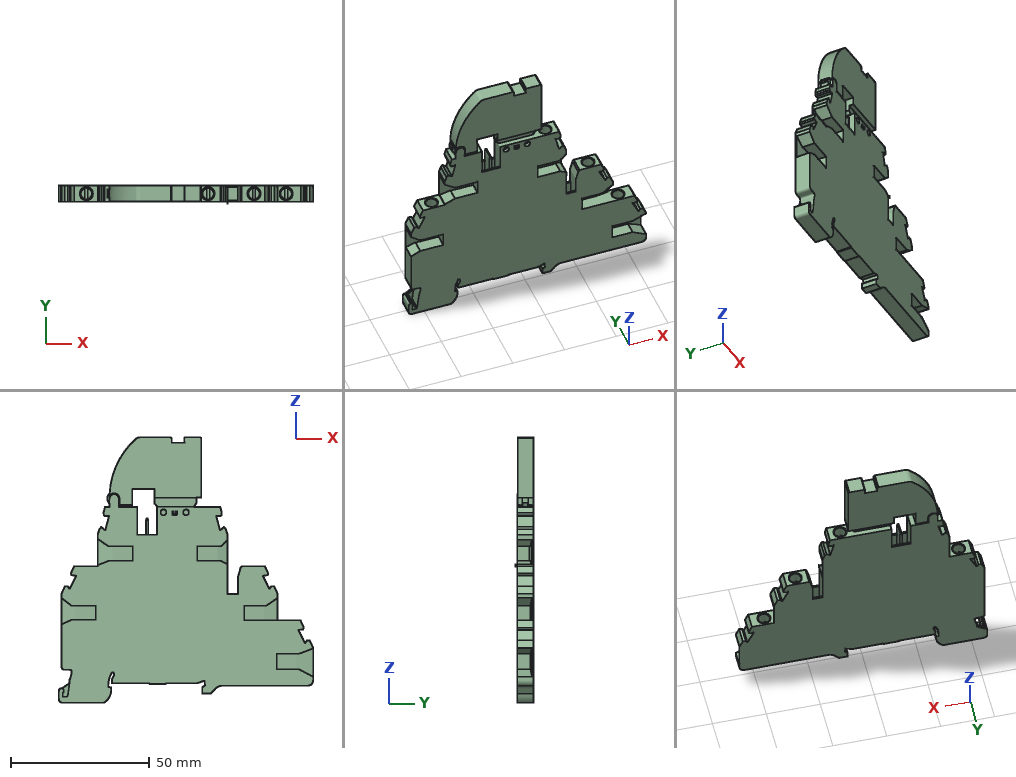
import cadquery as cq

thickness = 5.95
overall_height = 96.0
overall_length = 91.95

left_low_face = 1.0
left_high_face = 14.0
right_high_face = 61.0
right_mid_face = 79.1
right_low_face = overall_length
low_ledge = 29.85
mid_ledge = 49.4
high_ledge = 70.8
base_z = 7.0
right_base_z = 6.1
corner_radius = 2.0

pin_socket = (28.4, 35.4, 60.8)
plain_socket = (right_high_face, 64.7, 39.35)
socket_wall = 0.7
socket_recess = 5.8
socket_radius = 0.5

steep_groove = [
    (4.6, 0), (3.4, -2.7), (3.6, -3.4), (5.3, -3.55), (3.0, -8.3), (2.3, -7.3), (1.2, -7.3), (0, -10.0),
]
shallow_groove = [
    (2.7, 0), (2.1, -2.1), (2.2, -3.0), (2.7, -3.5), (4.1, -3.3),
    (2.8, -8.35), (2.4, -8.2), (1.3, -7.3), (0.7, -8.1), (0, -10.1),
]

ear_left = 18.3
ear_right = 21.7
ear_thickness = 0.9
ear_gap = 0.3
ear_side_gap = 0.6
ear_radius = (ear_right - ear_left) / 2
ear_center_x = ear_left + ear_radius
ear_center_z = 73.7
cap_front = 0.2
cap_right = 51.5
cap_bottom = 74.1
cap_leg_bottom = 71.4
cap_window = (26.6, 34.6, 77.2)
cap_lip_right = 49.8
cap_lip_inset = 1.9

wire_funnels = [
    dict(
        face=left_low_face, inward=1, bottom=29.9, top=35.1, drop=1.6, rise=2.8,
        height_taper=3.7, depth_taper=5.4, length=13.0, wall=1.2,
    ),
    dict(
        face=left_high_face, inward=1, bottom=51.3, top=56.5, drop=1.5, rise=2.8,
        height_taper=4.1, depth_taper=5.7, length=13.2, wall=1.5,
    ),
    dict(
        face=right_high_face, inward=-1, bottom=51.3, top=56.5, drop=1.2, rise=2.4,
        height_taper=2.5, depth_taper=3.8, length=11.5, wall=1.5,
    ),
    dict(
        face=right_mid_face, inward=-1, bottom=low_ledge, top=35.1, drop=0, rise=2.8,
        height_taper=4.2, depth_taper=5.1, length=12.5, wall=1.2,
    ),
    dict(
        face=right_low_face, inward=-1, bottom=12.2, top=17.7, drop=2.8, rise=2.0,
        height_taper=5.5, depth_taper=6.4, length=13.7, wall=1.2,
    ),
]
funnel_mouth_wall = 0.6

screws = [(10.0, mid_ledge), (53.9, high_ledge), (70.5, mid_ledge), (82.2, low_ledge)]
screw_rim_diameter = 4.8
screw_hole_depth = 5.8
screw_bore_diameter = 4.3
screw_head_diameter = 4.0
screw_head_height = 1.4
screw_slot_width = 1.1
screw_slot_depth = 0.8

test_hole_diameter = 2.1
test_hole_centers = [(37.8, 68.8), (46.0, 68.8)]
test_hole_depth = 1.4

window_center_x = 41.8
window_half_width = 0.91
window_top_z = 69.2
window_step_z = 68.6
window_bottom_z = 67.8
window_upper_depth = test_hole_depth
window_lower_depth = 1.0
window_block_half_width = 0.4
window_block_bottom_z = 68.3

foot_web = 1.0
foot_radius = 1.3
slot_top = (4.1, 8.8)
slot_mouth = (1.15, 5.3)


def prism(points, front, back):
    """Extrude an XZ outline from Y = front to Y = back."""
    return cq.Workplane("XZ", origin=(0, front, 0)).polyline(points).close().extrude(front - back)


def block(x, y, z):
    """Box between the limits given for each axis."""
    size = [high - low for low, high in (x, y, z)]
    return cq.Workplane("XY").box(*size, centered=False).translate((x[0], y[0], z[0]))


def add_lines(outline, points):
    """Continue an outline with straight lines through the points."""
    for point in points:
        outline = outline.lineTo(*point)
    return outline


def groove_points(groove, face, inward, ledge):
    """Place a marker groove at an end face, listed from the ledge downward."""
    return [(face + inward * depth, ledge + height) for depth, height in groove]


def housing():
    left_high = groove_points(shallow_groove, left_high_face, 1, high_ledge)
    left_low = groove_points(steep_groove, left_low_face, 1, mid_ledge)
    right_high = groove_points(shallow_groove, right_high_face, -1, high_ledge)
    right_mid = groove_points(steep_groove, right_mid_face, -1, mid_ledge)
    right_low = groove_points(steep_groove, right_low_face, -1, low_ledge)
    pin_left, pin_right, pin_floor = pin_socket
    plain_left, plain_right, plain_floor = plain_socket

    outline = cq.Workplane("XZ").moveTo(foot_radius, 0).lineTo(16.3, 0)
    outline = outline.threePointArc((18.3, 2.1), (18.9, 5.7)).lineTo(17.95, 5.8)
    outline = outline.threePointArc((18.2, 8.5), (19.2, 10.9)).lineTo(19.7, 10.9).lineTo(20.1, 10.4)
    outline = outline.lineTo(19.2, 8.4).lineTo(19.2, base_z)
    outline = add_lines(outline, [
        (32.6, base_z), (32.8, 6.7), (38.6, 6.7), (38.8, base_z), (50.0, base_z), (52.6, 8.0),
        (52.8, 6.2), (51.8, 5.7), (51.8, 3.4), (55.0, 3.4), (56.7, 5.2),
    ])
    outline = outline.threePointArc((57.8, 5.9), (59.0, right_base_z))
    outline = outline.lineTo(right_low_face - corner_radius, right_base_z)
    outline = outline.radiusArc((right_low_face, right_base_z + corner_radius), -corner_radius)
    outline = add_lines(outline, reversed(right_low))
    outline = outline.lineTo(right_mid_face, low_ledge)
    outline = add_lines(outline, reversed(right_mid))
    outline = add_lines(outline, [
        (66.1, mid_ledge), (65.65, 48.8), (plain_right, 45.4), (plain_right, plain_floor),
        (plain_left, plain_floor),
    ])
    outline = add_lines(outline, reversed(right_high))
    outline = outline.lineTo(pin_right + socket_radius, high_ledge)
    outline = outline.radiusArc((pin_right, high_ledge - socket_radius), -socket_radius)
    outline = add_lines(outline, [
        (pin_right, pin_floor), (pin_left, pin_floor), (pin_left, high_ledge),
    ])
    outline = add_lines(outline, left_high + [(left_high_face, mid_ledge)] + left_low)
    outline = outline.lineTo(left_low_face, 13.2).threePointArc((1.2, 12.3), (2.1, 11.9))
    outline = outline.lineTo(3.8, 11.9).threePointArc((4.5, 11.6), (4.6, 10.8)).lineTo(*slot_top)
    outline = add_lines(outline, [(3.7, 8.3), (3.8, 7.1), slot_mouth])
    outline = outline.lineTo(0.8, 5.3).threePointArc((0.3, 5.0), (0, 4.3)).lineTo(0, foot_radius)
    return outline.radiusArc((foot_radius, 0), -foot_radius).close().extrude(-thickness)


def spring_slot():
    slot = [slot_top, (3.3, 2.6), (2.9, 2.1), (1.5, 2.1), (1.5, 3.6), (1.8, 4.0), (1.8, 4.8), slot_mouth,
            (slot_mouth[0], slot_top[1])]
    return prism(slot, 0, thickness - foot_web)


def wire_funnel(face, inward, bottom, top, drop, rise, height_taper, depth_taper, length, wall):
    """Tapered wire entry, open at the end face and at the front."""
    side = [(0, bottom - drop), (height_taper, bottom), (length, bottom),
            (length, top), (height_taper, top), (0, top + rise)]
    plan = [(0, 0), (length, 0), (length, thickness - wall), (depth_taper, thickness - wall),
            (0, thickness - funnel_mouth_wall)]
    entry = prism([(face + inward * x, z) for x, z in side], 0, thickness)
    depth = cq.Workplane("XY").polyline([(face + inward * x, y) for x, y in plan]).close()
    return entry.intersect(depth.extrude(overall_height))


def socket_cavity(left, right, floor):
    return block((left, right), (socket_wall, thickness - socket_wall), (floor - socket_recess, floor))


def contact_pin():
    """Pointed contact blade standing in the left socket."""
    left, right, floor = pin_socket
    center = (left + right) / 2
    half_width = 0.5
    half_tip = 0.2
    shoulder = 65.65
    tip = 66.6
    foot = floor - socket_recess
    blade = [(center - half_width, foot), (center + half_width, foot), (center + half_width, shoulder),
             (center + half_tip, tip), (center - half_tip, tip), (center - half_width, shoulder)]
    return prism(blade, socket_wall, thickness - socket_wall)


def screw_hole(x, ledge):
    """Round hole with a bevelled rim."""
    hole = cq.Workplane("XY", origin=(x, thickness / 2, ledge))
    rim_depth = (screw_rim_diameter - screw_bore_diameter) / 2
    rim = hole.circle(screw_rim_diameter / 2).workplane(offset=-rim_depth)
    rim = rim.circle(screw_bore_diameter / 2).loft()
    return hole.circle(screw_bore_diameter / 2).extrude(-screw_hole_depth).union(rim)


def screw_head(x, ledge):
    """Slotted screw head at the bottom of its hole."""
    head = cq.Workplane("XY", origin=(x, thickness / 2, ledge - screw_hole_depth))
    head = head.circle(screw_head_diameter / 2).extrude(screw_head_height)
    slot = cq.Workplane("XY", origin=(x, thickness / 2, ledge - screw_hole_depth + screw_head_height))
    return head.cut(slot.rect(screw_slot_width, screw_head_diameter).extrude(-screw_slot_depth))


def ear_shape(clearance, front, back):
    """Round-topped ear outline, grown by a clearance."""
    radius = ear_radius + clearance
    outline = cq.Workplane("XZ", origin=(0, front, 0)).moveTo(ear_center_x - radius, high_ledge)
    outline = outline.lineTo(ear_center_x - radius, ear_center_z)
    outline = outline.radiusArc((ear_center_x + radius, ear_center_z), radius)
    return outline.lineTo(ear_center_x + radius, high_ledge).close().extrude(front - back)


def ear_bridge():
    """Low step that joins the feet of the two ears under the cap."""
    return block((ear_center_x, ear_right), (0, thickness), (high_ledge, cap_leg_bottom))


def cap():
    window_left, window_right, window_top = cap_window
    arc_foot_z = 75.5
    lug_tip = 17.5
    outline = cq.Workplane("XZ", origin=(0, cap_front, 0)).moveTo(ear_right, cap_leg_bottom)
    outline = add_lines(outline, [
        (window_left, cap_leg_bottom), (window_left, window_top), (window_right, window_top),
        (window_right, cap_bottom), (cap_right, cap_bottom), (cap_right, 95.6),
        (cap_right - 0.4, overall_height), (45.6, overall_height),
        (45.3, 95.6), (45.3, 94.35), (45.5, 94.0),
        (40.9, 94.0), (40.9, 95.4), (40.4, overall_height), (29.3, overall_height),
    ])
    outline = outline.threePointArc((28.5, 95.8), (27.9, 95.5))
    outline = outline.threePointArc((22.5, 89.0), (ear_left, arc_foot_z))
    outline = add_lines(outline, [
        (17.9, 75.1), (lug_tip, 74.1), (lug_tip, 73.2), (18.1, 72.2), (18.6, cap_leg_bottom),
    ])
    body = outline.close().extrude(cap_front - thickness)
    reach = ear_thickness + ear_side_gap
    for front, back in [(0, reach), (thickness - reach, thickness)]:
        body = body.cut(ear_shape(ear_gap, front, back))
        body = body.cut(block((lug_tip, ear_left), (front, back), (high_ledge, arc_foot_z)))
    lip = [(window_right, cap_bottom), (window_right, 72.0), (35.7, high_ledge), (48.9, high_ledge),
           (cap_lip_right, 72.3), (cap_lip_right, cap_bottom)]
    return body.union(prism(lip, cap_lip_inset, thickness - cap_lip_inset))


def indicator_window():
    left = window_center_x - window_half_width
    right = window_center_x + window_half_width
    corner = 0.4
    lower = [(left, window_step_z), (left, window_bottom_z + corner), (left + corner, window_bottom_z),
             (right - corner, window_bottom_z), (right, window_bottom_z + corner), (right, window_step_z)]
    lower = prism(lower, 0, window_lower_depth)
    upper = block((left, right), (0, window_upper_depth), (window_step_z, window_top_z))
    center = block(
        (window_center_x - window_block_half_width, window_center_x + window_block_half_width),
        (0, window_upper_depth),
        (window_block_bottom_z, window_top_z),
    )
    return lower.union(upper).cut(center)


def side_nub():
    """Small nub standing out of the front face at the right end of the top tier."""
    height = 0.6
    width = 0.1
    bottom = 49.1
    top = 50.0
    return block((right_high_face - width, right_high_face), (-height, funnel_mouth_wall), (bottom, top))


part = housing().cut(spring_slot())
for funnel in wire_funnels:
    part = part.cut(wire_funnel(**funnel))
for socket in (pin_socket, plain_socket):
    part = part.cut(socket_cavity(*socket))
part = part.union(contact_pin())
for screw in screws:
    part = part.cut(screw_hole(*screw)).union(screw_head(*screw))
for x, z in test_hole_centers:
    hole = cq.Workplane("XZ").center(x, z).circle(test_hole_diameter / 2).extrude(-test_hole_depth)
    part = part.cut(hole)
part = part.cut(indicator_window())
for front, back in [(0, ear_thickness), (thickness - ear_thickness, thickness)]:
    part = part.union(ear_shape(0, front, back))
result = part.union(ear_bridge()).union(cap()).union(side_nub())